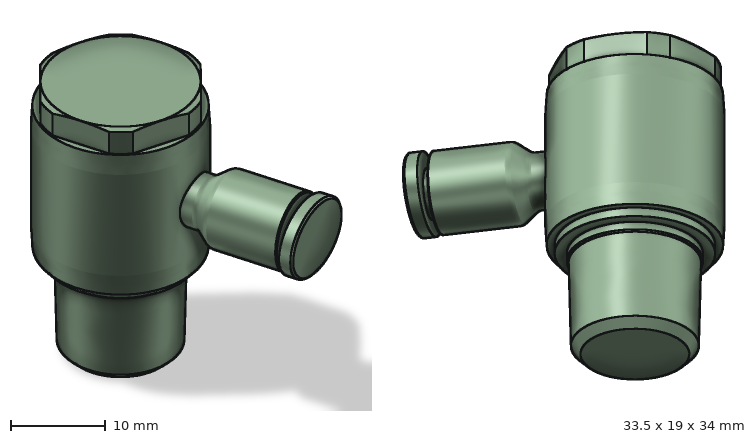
import cadquery as cq

stem_tip_d = 11.53
stem_chamfer = 1.02
stem_lower_d = stem_tip_d + 2 * stem_chamfer
stem_upper_d = 14.05
collar_d = 14.4
collar_chamfer = (collar_d - stem_upper_d) / 2
collar_bottom_z = 10.95
shoulder_bottom_z = 12.05
shoulder_d = 17.0
barrel_bottom_z = 13.05
barrel_top_z = 30.97
barrel_d = 19.0
barrel_end_d = 18.7
barrel_taper_height = 2.48
overall_height = 34.0

head_across_flats = shoulder_d
head_corner_d = 18.33
head_sides = 6
head_turn = 180 / head_sides
head_top_d = 16.93
head_chamfer_height = 0.25

arm_z = (barrel_bottom_z + barrel_top_z) / 2
neck_d = 6.2
sleeve_d = 9.0
sleeve_chamfer = 0.15
groove_d = 5.5
cone_start_x = 10.85
cone_end_x = 12.7
cone_blend_radius = 1.0
sleeve_end_x = 21.55
arm_end_x = 24.0

button_start_x = 22.4
button_width = 10.8
button_height = 8.67
button_chamfer = 0.25


def turned_about_z(profile):
    """Revolve (diameter, z) points about the Z axis, closing the outline on the axis."""
    bottom_z = profile[0][1]
    top_z = profile[-1][1]
    points = [(0, bottom_z)] + [(d / 2, z) for d, z in profile] + [(0, top_z)]
    return cq.Workplane("XZ").polyline(points).close().revolve(360, (0, 0), (0, 1))


def make_stem_and_barrel():
    return turned_about_z([
        (stem_tip_d, 0),
        (stem_lower_d, stem_chamfer),
        (stem_upper_d, collar_bottom_z),
        (collar_d, collar_bottom_z + collar_chamfer),
        (collar_d, shoulder_bottom_z),
        (shoulder_d, shoulder_bottom_z),
        (shoulder_d, barrel_bottom_z),
        (barrel_end_d, barrel_bottom_z),
        (barrel_d, barrel_bottom_z + barrel_taper_height),
        (barrel_d, barrel_top_z - barrel_taper_height),
        (barrel_end_d, barrel_top_z),
    ])


def make_head():
    """Hexagon with flats facing +Y and -Y, its corners and top edge turned down."""
    hexagon = (
        cq.Workplane("XY", origin=(0, 0, barrel_bottom_z))
        .polygon(head_sides, head_across_flats, circumscribed=True)
        .extrude(overall_height - barrel_bottom_z)
        .rotate((0, 0, 0), (0, 0, 1), head_turn)
    )
    turned_blank = turned_about_z([
        (head_corner_d, barrel_top_z),
        (head_corner_d, overall_height - head_chamfer_height),
        (head_top_d, overall_height),
    ])
    return hexagon.intersect(turned_blank)


def make_arm():
    """Neck, cone and sleeve, with a thinner groove section carrying the button."""
    profile = [
        (0, 0),
        (0, neck_d / 2),
        (cone_start_x, neck_d / 2),
        (cone_end_x, sleeve_d / 2),
        (sleeve_end_x, sleeve_d / 2),
        (sleeve_end_x, 0),
    ]
    cone_edges = cq.selectors.BoxSelector(
        (cone_start_x - cone_blend_radius, -sleeve_d, arm_z - sleeve_d),
        (cone_end_x + cone_blend_radius, sleeve_d, arm_z + sleeve_d),
    )
    sleeve = (
        cq.Workplane("XZ", origin=(0, 0, arm_z))
        .polyline(profile)
        .close()
        .revolve(360, (0, 0), (1, 0))
        .faces(">X").chamfer(sleeve_chamfer)
        .edges("%CIRCLE").edges(cone_edges).fillet(cone_blend_radius)
    )
    groove = (
        cq.Workplane("YZ", origin=(cone_end_x, 0, arm_z))
        .circle(groove_d / 2)
        .extrude(button_start_x - cone_end_x)
    )
    button = (
        cq.Workplane("YZ", origin=(button_start_x, 0, arm_z))
        .ellipse(button_width / 2, button_height / 2)
        .extrude(arm_end_x - button_start_x)
        .faces(">X").chamfer(button_chamfer)
    )
    return sleeve.union(groove).union(button)


result = make_stem_and_barrel().union(make_head()).union(make_arm())